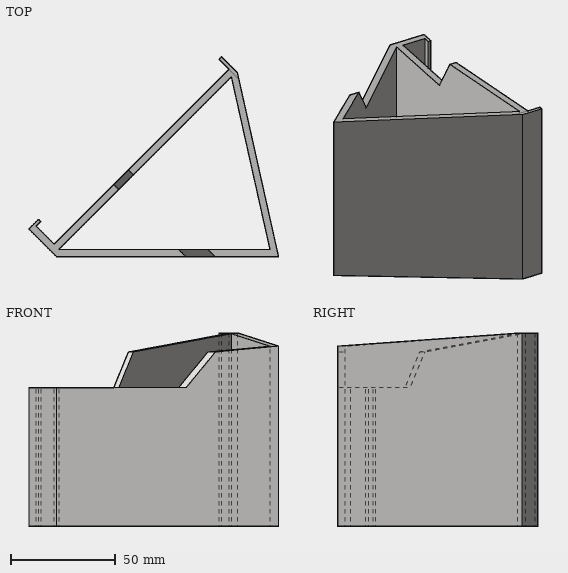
import cadquery as cq
import math

front_length = 119.0
lower_plate_reach = 9.4
lower_plate_thickness = 3.5
lip_length = 6.5
lip_thickness = 1.5

upper_plate_face = 132.4
upper_plate_thickness = 1.8
upper_plate_end = 2.5
upper_corner = -8.2

diagonal_face = -4.2
diagonal_thickness = 3.5
front_thickness = 3.6
right_thickness = 3.3

low_height = 66.1
step_height = 83.1
full_height = 92.0
step_start = 53.0
step_end = 62.9

diagonal_axis = (1, 1, 0)
across_axis = (1, -1, 0)
right_corner = front_length / math.sqrt(2)
plan_plane = cq.Plane(origin=(0, 0, 0), xDir=diagonal_axis, normal=(0, 0, 1))
rim_plane = cq.Plane(origin=(0, 0, 0), xDir=diagonal_axis, normal=across_axis)


def prism(points):
    """Extrude a plan outline, given as (along, across) points, to full height."""
    return cq.Workplane(plan_plane).polyline(points).close().extrude(full_height)


def outer_body():
    """Triangular body with the two end plates and the lower lip."""
    floor = lower_plate_reach + lower_plate_thickness
    upper_inside = upper_plate_face - upper_plate_thickness
    return prism([
        (lower_plate_reach, -lower_plate_reach),
        (right_corner, -right_corner),
        (upper_plate_face, upper_corner),
        (upper_plate_face, upper_plate_end),
        (upper_inside, upper_plate_end),
        (upper_inside, diagonal_face),
        (floor, diagonal_face),
        (floor, lower_plate_reach - lip_thickness),
        (lower_plate_reach + lip_length, lower_plate_reach - lip_thickness),
        (lower_plate_reach + lip_length, lower_plate_reach),
        (lower_plate_reach, lower_plate_reach),
    ])


def inner_opening():
    """Triangular through opening bounded by the front, right and diagonal walls."""
    inner_diagonal = diagonal_face - diagonal_thickness
    front_offset = front_thickness * math.sqrt(2)
    right_slope = (upper_corner + right_corner) / (upper_plate_face - right_corner)
    right_offset = (-right_corner - right_slope * right_corner
                    + right_thickness * math.hypot(1, right_slope))
    lower_right = (front_offset - right_offset) / (1 + right_slope)
    return prism([
        (front_offset - inner_diagonal, inner_diagonal),
        (lower_right, front_offset - lower_right),
        ((inner_diagonal - right_offset) / right_slope, inner_diagonal),
    ])


def rim_envelope():
    """Stepped and sloping rim profile, swept straight across the diagonal wall."""
    slope_end = upper_plate_face - upper_plate_thickness
    return (
        cq.Workplane(rim_plane)
        .moveTo(0, 0)
        .lineTo(0, low_height)
        .lineTo(step_start, low_height)
        .lineTo(step_end, step_height)
        .lineTo(slope_end, full_height)
        .lineTo(upper_plate_face, full_height)
        .lineTo(upper_plate_face, 0)
        .close()
        .extrude(front_length, both=True)
    )


result = outer_body().cut(inner_opening()).intersect(rim_envelope())